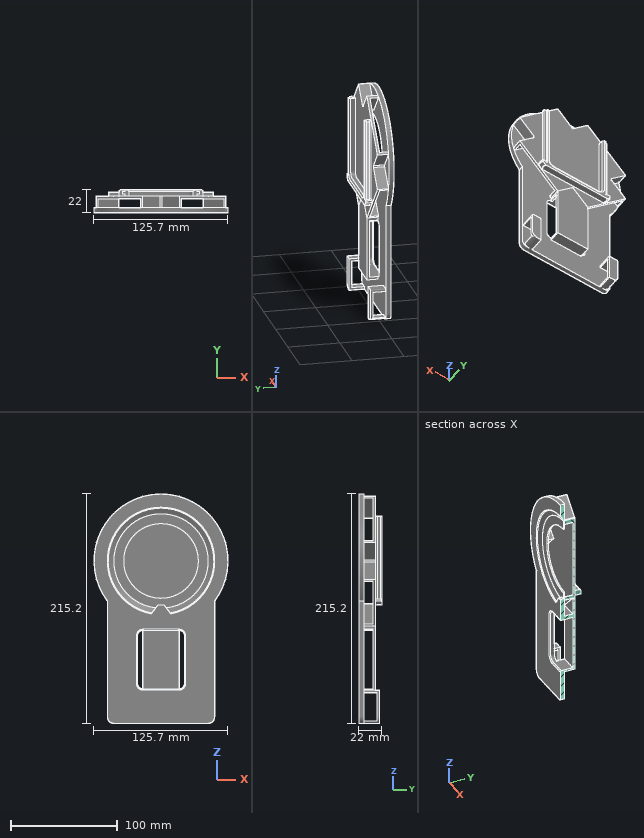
import cadquery as cq
import math

head_diameter = 125.7
total_height = 215.2
stem_width = 100.7
stem_corner_radius = 6.5
plate_thickness = 5.0
head_z = total_height - head_diameter / 2

dish_diameter = 100.7
dish_floor_diameter = 90.2
dish_depth = 3.5
dish_edge = 0.9
dish_hole_diameter = 70.0
pointer_base_half_width = 9.5
pointer_tip_half_width = 3.0
pointer_base_z = 102.5
pointer_tip_z = 111.0

window_width = 46.0
window_bottom_z = 31.5
window_top_z = 88.5
window_corner_radius = 6.2
window_chamfer = 1.0

wall = 2.5
cross_depth = 10.8
arm_width = 61.5
arm_length = 110.2
corner_chamfer = 1.3
back_y = plate_thickness + cross_depth
cross_corner_z = head_z - (arm_length + arm_width) / 2 / math.sqrt(2)
cross_notch_z = head_z - arm_width / math.sqrt(2)

strap_width = (arm_length - arm_width) / math.sqrt(2)
strap_top_z = window_top_z - window_chamfer
strap_bottom_z = window_bottom_z + window_chamfer

clip_span = 98.1
clip_width = 10.0
clip_height = 31.5
clip_depth = 14.6
clip_top_radius = 1.7

bracket_depth = 6.2
bracket_top_z = 194.3
bracket_bottom_z = 111.0
bracket_inner_width = 60.3
bracket_inner_bottom_z = 116.8
bracket_inner_radius = 5.2
bracket_lip_chamfer = 1.7
rail_width = 3.5
tongue_width = 2.5
tongue_thickness = 2.5
tongue_y = back_y + 2.0
foot_width = 78.3
foot_chamfer = 3.7
foot_back_chamfer = 1.0


def block(x_size, y_start, y_size, z_start, z_size):
    """Box centred on X that starts at the given Y and Z."""
    box = cq.Workplane("XY").box(x_size, y_size, z_size, centered=(True, False, False))
    return box.translate((0, y_start, z_start))


def back_plane(y):
    """Vertical sketch plane at the given Y; local x is X, local y is Z, and extrusion runs toward +Y."""
    return cq.Workplane(cq.Plane(origin=(0, y, 0), xDir=(1, 0, 0), normal=(0, -1, 0)))


def disc(diameter, y_start, depth):
    """Disc concentric with the head."""
    return back_plane(y_start).center(0, head_z).circle(diameter / 2).extrude(-depth)


def make_pointer():
    """Tapered pointer that stands in the lower rim of the dish, flush with the plate front."""
    points = [
        (-pointer_base_half_width, pointer_base_z),
        (-pointer_tip_half_width, pointer_tip_z),
        (pointer_tip_half_width, pointer_tip_z),
        (pointer_base_half_width, pointer_base_z),
        (0, pointer_base_z - pointer_base_half_width),
    ]
    return back_plane(0).polyline(points).close().extrude(-dish_depth)


def make_dish():
    """Conical recess with softened edges, less the pointer."""
    rim_radius = dish_diameter / 2
    floor_radius = dish_floor_diameter / 2
    profile = [
        (0, 0),
        (rim_radius, 0),
        (rim_radius - dish_edge, dish_edge),
        (floor_radius, dish_depth - dish_edge / 2),
        (floor_radius - dish_edge, dish_depth),
        (0, dish_depth),
    ]
    dish = cq.Workplane("XY").polyline(profile).close().revolve(360, (0, 0), (0, 1))
    return dish.translate((0, 0, head_z)).cut(make_pointer())


def make_window():
    """Rounded window with a chamfered front rim."""
    window_height = window_top_z - window_bottom_z
    inset = 2 * window_chamfer
    rim = back_plane(0).center(0, (window_top_z + window_bottom_z) / 2)
    rim = rim.sketch().rect(window_width, window_height).vertices().fillet(window_corner_radius).finalize()
    rim = rim.extrude(-window_chamfer, taper=45)
    opening = block(window_width - inset, 0, plate_thickness, strap_bottom_z, window_height - inset)
    opening = opening.edges("|Y").fillet(window_corner_radius - window_chamfer)
    return opening.union(rim)


def make_strap():
    """Strap bridging the window, with an upper leg at the cross and a lower leg under the window."""
    upper_leg = block(strap_width, plate_thickness, cross_depth, strap_top_z, cross_corner_z - strap_top_z)
    upper_leg = upper_leg.edges("|Y and <Z").chamfer(corner_chamfer)
    lower_leg = block(strap_width, plate_thickness, cross_depth, strap_bottom_z - wall, wall)
    span_bottom_z = strap_bottom_z - wall
    span = block(strap_width, back_y - wall, wall, span_bottom_z, cross_corner_z - span_bottom_z)
    half_width = strap_width / 2
    tip_points = [(-half_width, cross_corner_z), (0, cross_notch_z), (half_width, cross_corner_z)]
    tip = back_plane(back_y - wall).polyline(tip_points).close().extrude(-wall)
    return upper_leg.union(lower_leg).union(span).union(tip)


def make_clip(side):
    """Belt clip, open along X; side is -1 for the left clip and 1 for the right one."""
    x = side * (clip_span - clip_width) / 2
    outer = block(clip_width, plate_thickness, clip_depth, 0, clip_height)
    outer_side = ">X" if side > 0 else "<X"
    outer = outer.edges("|Y and <Z").edges(outer_side).fillet(stem_corner_radius)
    outer = outer.edges("|Y and >Z").edges(outer_side).fillet(clip_top_radius)
    inner_height = clip_height - 2 * wall
    inner = block(clip_width, plate_thickness, clip_depth - wall, wall, inner_height)
    return outer.cut(inner).translate((x, 0, 0))


def make_frame():
    """Face plate with its strap and clips."""
    stem = block(stem_width, 0, plate_thickness, 0, head_z)
    stem = stem.edges("|Y and <Z").fillet(stem_corner_radius)
    frame = stem.union(disc(head_diameter, 0, plate_thickness))
    frame = frame.cut(make_window())
    frame = frame.cut(make_dish()).cut(disc(dish_hole_diameter, 0, plate_thickness))
    frame = frame.union(make_strap())
    for side in (-1, 1):
        frame = frame.union(make_clip(side))
    return frame


def crossed_bars(width, y_size):
    """Two bars crossed at the head centre, each at 45 degrees, starting at the plate back."""
    bar = block(width, plate_thickness, y_size, -arm_length / 2, arm_length)
    first = bar.rotate((0, 0, 0), (0, 1, 0), 45)
    second = bar.rotate((0, 0, 0), (0, 1, 0), -45)
    return first.union(second).translate((0, 0, head_z))


def make_cross():
    """Plus-shaped channel with open arm ends and a closed back; all notches but the lower one are bevelled."""
    outer = crossed_bars(arm_width, cross_depth)
    inner = crossed_bars(arm_width - 2 * wall, cross_depth - wall)
    cross = outer.cut(inner)
    notch_offset = head_z - cross_notch_z
    for x, z in ((0, notch_offset), (-notch_offset, 0), (notch_offset, 0)):
        notch_edge = cq.selectors.NearestToPointSelector((x, back_y - wall, head_z + z))
        cross = cross.edges("|Y").edges(notch_edge).chamfer(corner_chamfer)
    return cross


def make_bracket():
    """U-shaped bracket with tongues along its rails and a wider foot."""
    height = bracket_top_z - bracket_bottom_z
    rails_width = bracket_inner_width + 2 * rail_width
    tongues_width = rails_width + 2 * tongue_width
    body = block(rails_width, back_y, bracket_depth, bracket_bottom_z, height)
    body = body.union(block(tongues_width, tongue_y, tongue_thickness, bracket_bottom_z, height))
    foot_height = bracket_inner_bottom_z - bracket_bottom_z
    foot = block(foot_width, back_y, bracket_depth, bracket_bottom_z, foot_height)
    foot = foot.edges("|Y and <Z").chamfer(foot_chamfer)
    foot = foot.faces(">X or <X").edges(">Y").chamfer(foot_back_chamfer)
    opening = block(bracket_inner_width, back_y, bracket_depth, bracket_inner_bottom_z, height)
    opening = opening.edges("|Y and <Z").fillet(bracket_inner_radius)
    bracket = body.union(foot).cut(opening)
    lip_middle = (0, back_y + bracket_depth, bracket_inner_bottom_z)
    lip_edge = cq.selectors.NearestToPointSelector(lip_middle)
    return bracket.edges(lip_edge).chamfer(bracket_lip_chamfer)


frame = make_frame()
cross = make_cross()
bracket = make_bracket()

result = cq.Compound.makeCompound([frame.val(), cross.val(), bracket.val()])